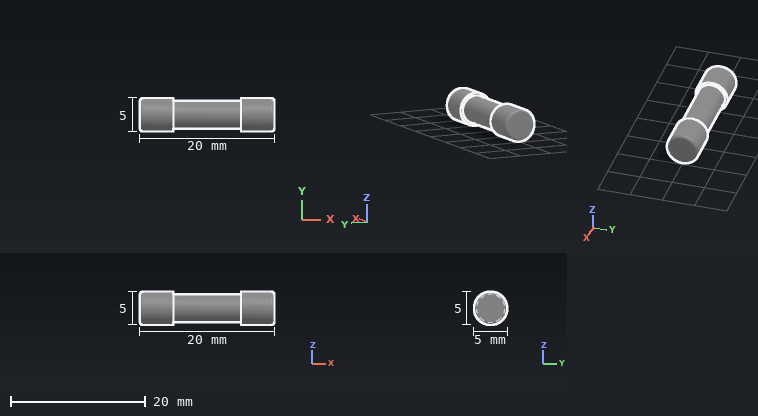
import cadquery as cq

fuse_length = 20.0
cap_diameter = 5.0
cap_length = 5.0
cap_edge_radius = 0.5
tube_diameter = 4.2

tube_length = fuse_length - 2 * cap_length


def make_tube():
    """Round body that spans the gap between the two caps."""
    return (
        cq.Workplane("YZ", origin=(-tube_length / 2, 0, 0))
        .circle(tube_diameter / 2)
        .extrude(tube_length)
    )


def make_end_cap(side):
    """End cap with a rounded outer rim; side is -1 for the -X end and +1 for the +X end."""
    outer_face = "<X" if side < 0 else ">X"
    return (
        cq.Workplane("YZ", origin=(side * tube_length / 2, 0, 0))
        .circle(cap_diameter / 2)
        .extrude(side * cap_length)
        .faces(outer_face)
        .edges()
        .fillet(cap_edge_radius)
    )


tube = make_tube()
end_caps = [make_end_cap(side) for side in (-1, 1)]

result = cq.Compound.makeCompound([tube.val(), *[cap.val() for cap in end_caps]])